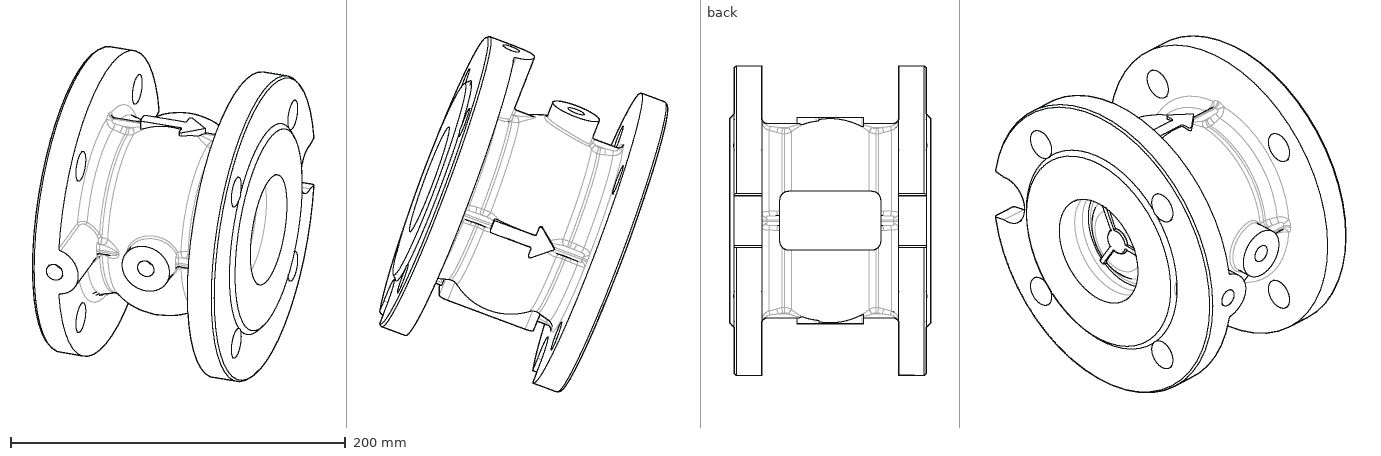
import cadquery as cq
import math


length = 120.0
flange_radius = 92.5
flange_thickness = 16.6
rim_chamfer_axial = 1.5
rim_chamfer_radial = 1.1
rim_allowance = 1.8
lug_allowance = 0.4
raised_face_height = 2.5
raised_face_base_radius = 63.8
raised_face_radius = 61.0
bolt_hole_diameter = 18.0
bolt_circle_radius = 72.5

notch_radius = 15.0
notch_centre_y = 80.3
notch_flare_angle = math.radians(9)

ball_radius = 61.0
ball_arc_radius = 39.2
neck_radius = 52.2
neck_cone_start = 28.9
neck_cone_angle = math.radians(15)
ball_fillet = 6.8
flange_fillet = 5.7

web_thickness = 6.0
web_crest_radius = 58.0
web_crest_fillet = 2.4
web_foot_fillet = 3.1

arrow_height = 61.6
arrow_half_length = 20.0
arrow_head_start = 6.7
arrow_head_half_width = 11.3
arrow_shaft_half_width = 3.9
arrow_corner_fillet = 1.1

pad_length = 60.3
pad_width = 35.2
pad_corner_radius = 5.4
pad_height = 61.6
pad_root_y = 44.4

boss_x = 6.8
boss_radius = 15.0
boss_height = 70.3
lug_x = -43.1
lug_radius = 15.0
root_fillet = 1.5
tapped_hole_diameter = 10.4
tapped_hole_depth = 14.8
drill_point_angle = math.radians(118)

bore_radius = 33.3
bore_depth = 13.0
seat_cone_radius = 33.0
seat_cone_depth = 19.0
seat_radius = 32.2
seat_depth = 23.3

disc_edge_radius = 30.3
disc_flank_radius = 25.7
disc_flank_depth = 20.0
disc_shoulder_radius = 19.8
disc_shoulder_depth = 16.6
disc_centre_depth = 16.3
hub_depth = 15.0
hub_base_radius = 8.1
hub_top_radius = 7.4
disc_arc_rise = 0.7
disc_rib_width = 3.0
disc_rib_flat_radius = 23.5
disc_rib_end_radius = 26.0
disc_rib_angles = (-3, 117, 237)

end_x = length / 2
flange_face_x = end_x - raised_face_height
flange_back_x = flange_face_x - flange_thickness
root_overlap = 3.7
core_radius = neck_radius - root_overlap
tolerance = 0.02


def ring_selector(x, radius):
    """Select the pair of circular edges of the given radius in the planes +x and -x."""
    gap = 0.2
    reach = radius + gap

    def slab(half_width):
        corner = (half_width, reach, reach)
        opposite = tuple(-value for value in corner)
        return cq.selectors.BoxSelector(opposite, corner, boundingbox=True)

    return slab(x + gap) - slab(x - gap)


def make_shell():
    """Revolved outside: both oversize flanges, both necks and the ball between them."""
    ball_centre_r = ball_radius - ball_arc_radius
    ball_end_x = math.sqrt(ball_arc_radius**2 - (neck_radius - ball_centre_r) ** 2)
    cone_end_radius = neck_radius + (flange_back_x - neck_cone_start) * math.tan(neck_cone_angle)
    half_outline = [
        (neck_cone_start, neck_radius),
        (flange_back_x, cone_end_radius),
        (flange_back_x, flange_radius + rim_allowance),
        (flange_face_x, flange_radius + rim_allowance),
        (flange_face_x, raised_face_base_radius),
        (end_x, raised_face_radius),
        (end_x, 0),
    ]
    outline = cq.Workplane("XY").moveTo(-ball_end_x, neck_radius)
    outline = outline.threePointArc((0, ball_radius), (ball_end_x, neck_radius))
    for x, radius in half_outline:
        outline = outline.lineTo(x, radius)
    for x, radius in reversed(half_outline):
        outline = outline.lineTo(-x, radius)
    shell = outline.close().revolve(360, (0, 0, 0), (1, 0, 0))

    shell = shell.edges(ring_selector(flange_back_x, cone_end_radius)).fillet(flange_fillet)
    return shell.edges(ring_selector(ball_end_x, neck_radius)).fillet(ball_fillet)


def make_webs():
    """Crossed plates whose rounded crests stand out between the flanges."""
    web_length = 2 * flange_back_x + flange_thickness
    plate = cq.Workplane("XY").box(web_length, web_thickness, 2 * web_crest_radius)
    plate = plate.edges("|X").fillet(web_crest_fillet)
    return plate.union(plate.rotate((0, 0, 0), (1, 0, 0), 90))


def is_web_foot(edge):
    """True for the edges where a web's flat side meets the ball, neck or flange fillet."""
    middle = edge.positionAt(0.5)
    side_offset = min(abs(middle.y), abs(middle.z))
    height = max(abs(middle.y), abs(middle.z))
    on_side = abs(side_offset - web_thickness / 2) < tolerance
    return on_side and height < web_crest_radius - web_crest_fillet - tolerance


def make_arrow():
    """Flow arrow on the +Z side, pointing towards +X."""
    half_outline = [
        (-arrow_half_length, arrow_shaft_half_width),
        (arrow_head_start, arrow_shaft_half_width),
        (arrow_head_start, arrow_head_half_width),
    ]
    mirrored = [(x, -y) for x, y in reversed(half_outline)]
    outline = half_outline + [(arrow_half_length, 0)] + mirrored
    arrow = cq.Workplane("XY", origin=(0, 0, core_radius)).polyline(outline).close()
    arrow = arrow.extrude(arrow_height - core_radius)
    blunt_corners = cq.StringSyntaxSelector("|Z") - cq.StringSyntaxSelector(">X")
    return arrow.edges(blunt_corners).fillet(arrow_corner_fillet)


def make_pad():
    """Flat rectangular name plate pad on the +Y side."""
    pad = cq.Workplane("XZ", origin=(0, pad_height, 0)).rect(pad_length, pad_width)
    pad = pad.extrude(pad_height - pad_root_y)
    return pad.edges("|Y").fillet(pad_corner_radius)


def cut_tapped_hole(body, x, mouth_y):
    """Blind hole with a drill point, running in +Y from a mouth at mouth_y."""
    radius = tapped_hole_diameter / 2
    tip_depth = tapped_hole_depth + radius / math.tan(drill_point_angle / 2)
    section = [(0, 0), (radius, 0), (radius, tapped_hole_depth), (0, tip_depth)]
    hole = cq.Workplane("XY").polyline(section).close().revolve(360, (0, 0, 0), (0, 1, 0))
    return body.cut(hole.translate((x, mouth_y, 0)))


def add_round_stub(body, radius, x, tip_y):
    """Add a stub pointing to -Y and round the corner around its root."""
    stub = cq.Workplane("XZ", origin=(x, -core_radius, 0)).circle(radius).extrude(-core_radius - tip_y)

    def is_root(edge):
        samples = [edge.positionAt(fraction) for fraction in (0, 0.3, 0.5, 0.7, 1)]
        on_stub = all(abs(math.hypot(p.x - x, p.z) - radius) < tolerance for p in samples)
        short_of_tip = all(tip_y + tolerance < p.y < 0 for p in samples)
        return on_stub and short_of_tip

    return body.union(stub).edges().filter(is_root).fillet(root_fillet)


def make_rim_envelope():
    """Finished outside of the flange rims, with a core that clears the raised faces."""
    half_outline = [
        (flange_face_x - rim_chamfer_axial, flange_radius),
        (flange_face_x, flange_radius - rim_chamfer_radial),
        (flange_face_x, raised_face_base_radius),
        (end_x, raised_face_base_radius),
        (end_x, 0),
    ]
    mirrored = [(-x, radius) for x, radius in reversed(half_outline)]
    return revolve_about_flow_axis(cq.Workplane("XY").polyline(half_outline + mirrored))


def make_notch():
    """Flared notch with a round bottom, running through both flanges."""
    tangent_y = notch_centre_y + notch_radius * math.sin(notch_flare_angle)
    tangent_z = notch_radius * math.cos(notch_flare_angle)
    mouth_y = flange_radius + rim_allowance
    mouth_z = tangent_z + (mouth_y - tangent_y) * math.tan(notch_flare_angle)
    return (
        cq.Workplane("YZ", origin=(-end_x, 0, 0))
        .moveTo(mouth_y, mouth_z)
        .lineTo(tangent_y, tangent_z)
        .threePointArc((notch_centre_y - notch_radius, 0), (tangent_y, -tangent_z))
        .lineTo(mouth_y, -mouth_z)
        .close()
        .extrude(length)
    )


def make_bolt_holes():
    """Four holes on the diagonals, through both flanges."""
    spacing = bolt_circle_radius * math.sqrt(2)
    holes = cq.Workplane("YZ", origin=(-end_x, 0, 0)).rect(spacing, spacing, forConstruction=True)
    return holes.vertices().circle(bolt_hole_diameter / 2).extrude(length)


def start_bore():
    """Bore section drawn as (depth, radius), down to the mouth of the valve seat."""
    return (
        cq.Workplane("XY")
        .lineTo(0, bore_radius)
        .lineTo(bore_depth, bore_radius)
        .lineTo(seat_cone_depth, seat_cone_radius)
        .lineTo(seat_depth, seat_radius)
    )


def revolve_about_flow_axis(section):
    return section.close().revolve(360, (0, 0, 0), (1, 0, 0))


def make_inlet_bore():
    """Inlet cavity whose floor is the domed face of the closed disc."""
    section = (
        start_bore()
        .lineTo(seat_depth, disc_edge_radius)
        .sagittaArc((disc_flank_depth, disc_flank_radius), disc_arc_rise)
        .sagittaArc((disc_shoulder_depth, disc_shoulder_radius), -disc_arc_rise)
        .lineTo(disc_centre_depth, 0)
    )
    return revolve_about_flow_axis(section).translate((-end_x, 0, 0))


def make_outlet_bore():
    """Outlet cavity like the inlet, with a flat floor."""
    bore = revolve_about_flow_axis(start_bore().lineTo(seat_depth, 0))
    return bore.mirror("YZ").translate((end_x, 0, 0))


def make_disc_ribs():
    """Central hub and three radial ribs standing on the disc face."""
    rib_section = [
        (hub_depth, 0),
        (hub_depth, disc_rib_flat_radius),
        (disc_flank_depth, disc_rib_end_radius),
        (seat_depth, disc_rib_end_radius),
        (seat_depth, 0),
    ]
    rib = cq.Workplane("XY").polyline(rib_section).close().extrude(disc_rib_width / 2, both=True)
    hub_section = [
        (hub_depth, 0),
        (hub_depth, hub_top_radius),
        (disc_centre_depth, hub_base_radius),
        (seat_depth, hub_base_radius),
        (seat_depth, 0),
    ]
    ribs = revolve_about_flow_axis(cq.Workplane("XY").polyline(hub_section))
    for angle in disc_rib_angles:
        ribs = ribs.union(rib.rotate((0, 0, 0), (1, 0, 0), 180 - angle))
    return ribs.translate((-end_x, 0, 0))


result = make_shell().union(make_webs())
result = result.edges().filter(is_web_foot).fillet(web_foot_fillet)
result = add_round_stub(result, boss_radius, boss_x, -boss_height)
result = add_round_stub(result, lug_radius, lug_x, -flange_radius - lug_allowance)
result = result.intersect(make_rim_envelope())
arrow = make_arrow()
result = result.union(arrow).union(arrow.rotate((0, 0, 0), (1, 0, 0), 180))
result = result.union(make_pad())
result = result.cut(make_notch()).cut(make_bolt_holes())
result = result.cut(make_inlet_bore()).cut(make_outlet_bore())
result = result.union(make_disc_ribs())
result = cut_tapped_hole(result, boss_x, -boss_height)
result = cut_tapped_hole(result, lug_x, -flange_radius)